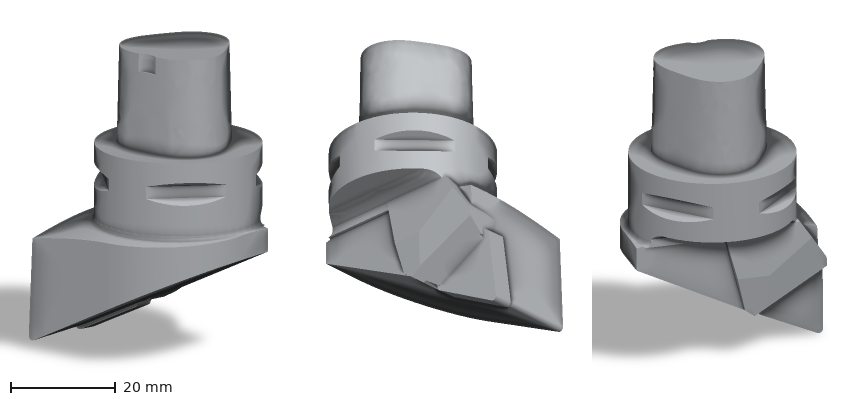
import cadquery as cq
import math


SHANK_HEIGHT = 19.0
SHANK_MEAN_RADIUS = 10.85
SHANK_LOBE_HEIGHT = 0.95
SHANK_TAPER = 1 / 40
LOBES = 3
OUTLINE_POINTS = 36
KEY_NOTCH_RADIUS = 3.4
KEY_NOTCH_DEPTH = 3.5
KEY_NOTCH_INNER_Y = -8.75

COLLAR_RADIUS = 16.05
COLLAR_HEIGHT = 14.3
FLARE = 0.95
GRIP_CENTRE_Z = -6.1
GRIP_FLOOR_WIDTH = 2.35
GRIP_MOUTH_WIDTH = 4.5
GRIP_FLOOR_DISTANCE = 14.1
GRIP_COUNT = 4

HEAD_RIGHT = 17.0
HEAD_FRONT = -19.95
HEAD_BACK = 6.2
HEAD_CORNER_RADIUS = 17.95
HEAD_LEFT_TOP = -19.45
HEAD_LEFT_LEAN = 2.6
HEAD_LEFT_BACK = 4.4
LEFT_CORNER_END = -15.75
HEAD_CONE_ANGLE = 15.0
HEAD_BOTTOM_Z = -38.8
HEAD_BOTTOM_ANGLE = 26.6
HEAD_CORNER_ROUND = 0.75
RELIEF_Z = -12.1
RELIEF_START_Y = 10.3
RELIEF_END_Y = 7.1
RELIEF_END_Z = -13.55
BOTTOM_LIMIT = -47.2
OUTER_LIMIT = 35.4

CLAMP_CORNER_Z = -22.3
CLAMP_OUTLINE = [
    (-15.2, -13.55),
    (-20.65, -21.55),
    (-20.95, CLAMP_CORNER_Z),
    (-20.95, -26.55),
    (-7.65, -33.05),
    (-4.4, -30.7),
    (0.0, -13.55),
]
CLAMP_BACK = 6.25
CLAMP_FRONT = -1.9
CLAMP_TURN = 8.0
CLAMP_TILT = 6.5
BACK_PROFILE = [(7.1, -13.0), (7.8, -23.6), (6.85, -32.45), (2.95, -33.65)]
CHIP_EDGE_POINT = (-20.95, CLAMP_BACK, -23.6)
CHIP_SLOPE_X = -0.6
CHIP_SLOPE_Y = 0.62

INSERT_TIP = (-22.05, 0.0, -40.55)
INSERT_THICKNESS = 4.6
INSERT_SIDE = 15.3
INSERT_ANGLE = 60.5
INSERT_CORNER_RADIUS = 0.8
RAKE_SLOPE_X = 0.1
RAKE_SLOPE_Z = 0.11


def tangent(degrees):
    return math.tan(math.radians(degrees))


def shank_outline(mean_radius, height):
    points = []
    for index in range(OUTLINE_POINTS):
        angle = 2 * math.pi * index / OUTLINE_POINTS
        radius = mean_radius + SHANK_LOBE_HEIGHT * math.cos(LOBES * (angle - math.pi / 2))
        points.append(cq.Vector(radius * math.cos(angle), radius * math.sin(angle), height))
    return cq.Wire.assembleEdges([cq.Edge.makeSpline(points, periodic=True)])


def make_shank():
    top_radius = SHANK_MEAN_RADIUS - SHANK_TAPER * SHANK_HEIGHT
    base = shank_outline(SHANK_MEAN_RADIUS, 0)
    top = shank_outline(top_radius, SHANK_HEIGHT)
    notch = (
        cq.Workplane("XY", origin=(0, KEY_NOTCH_INNER_Y - KEY_NOTCH_RADIUS, SHANK_HEIGHT))
        .circle(KEY_NOTCH_RADIUS)
        .extrude(-KEY_NOTCH_DEPTH)
    )
    return cq.Workplane(cq.Solid.makeLoft([base, top])).cut(notch)


def make_grip_groove(angle):
    """Flat-floored groove with flared sides, cut across the collar at one angle."""
    depth = COLLAR_RADIUS - GRIP_FLOOR_DISTANCE
    half_floor = GRIP_FLOOR_WIDTH / 2
    half_mouth = GRIP_MOUTH_WIDTH / 2
    groove = (
        cq.Workplane("XZ", origin=(GRIP_FLOOR_DISTANCE, 0, GRIP_CENTRE_Z))
        .polyline([(0, -half_floor), (depth, -half_mouth), (depth, half_mouth), (0, half_floor)])
        .close()
        .extrude(COLLAR_RADIUS, both=True)
    )
    return groove.rotate((0, 0, 0), (0, 0, 1), angle)


def make_collar():
    flare_bottom = -COLLAR_HEIGHT - FLARE
    bend = FLARE * (1 - math.sqrt(0.5))
    collar = (
        cq.Workplane("XZ")
        .lineTo(COLLAR_RADIUS, 0)
        .lineTo(COLLAR_RADIUS, -COLLAR_HEIGHT)
        .threePointArc(
            (COLLAR_RADIUS + bend, flare_bottom + bend),
            (COLLAR_RADIUS + FLARE, flare_bottom),
        )
        .lineTo(0, flare_bottom)
        .close()
        .revolve(360, (0, 0, 0), (0, 1, 0))
    )
    for index in range(GRIP_COUNT):
        collar = collar.cut(make_grip_groove((index + 0.5) * 360 / GRIP_COUNT))
    return collar


def make_head():
    corner_x = HEAD_RIGHT - HEAD_CORNER_RADIUS
    corner_y = HEAD_FRONT + HEAD_CORNER_RADIUS
    diagonal = HEAD_CORNER_RADIUS * math.sqrt(0.5)
    plan = (
        cq.Workplane("XY", origin=(0, 0, BOTTOM_LIMIT))
        .moveTo(-OUTER_LIMIT, HEAD_FRONT)
        .lineTo(corner_x, HEAD_FRONT)
        .threePointArc((corner_x + diagonal, corner_y - diagonal), (HEAD_RIGHT, corner_y))
        .lineTo(HEAD_RIGHT, HEAD_BACK)
        .lineTo(LEFT_CORNER_END, HEAD_BACK)
        .lineTo(LEFT_CORNER_END, HEAD_LEFT_BACK)
        .lineTo(-OUTER_LIMIT, HEAD_LEFT_BACK)
        .close()
        .extrude(-BOTTOM_LIMIT)
    )

    top_z = -COLLAR_HEIGHT - FLARE
    bottom_left = HEAD_LEFT_TOP + (HEAD_BOTTOM_Z - top_z) * tangent(HEAD_LEFT_LEAN)
    bottom_right_z = HEAD_BOTTOM_Z + (HEAD_RIGHT - bottom_left) * tangent(HEAD_BOTTOM_ANGLE)
    side = (
        cq.Workplane("XZ")
        .polyline([
            (HEAD_LEFT_TOP, top_z),
            (bottom_left, HEAD_BOTTOM_Z),
            (HEAD_RIGHT, bottom_right_z),
            (HEAD_RIGHT, top_z),
        ])
        .close()
        .extrude(OUTER_LIMIT, both=True)
    )

    side = side.edges("<Z").fillet(HEAD_CORNER_ROUND)

    inner_radius = COLLAR_RADIUS + FLARE
    outer_z = top_z - (OUTER_LIMIT - inner_radius) * tangent(HEAD_CONE_ANGLE)
    cone = (
        cq.Workplane("XZ")
        .polyline([
            (0, top_z),
            (inner_radius, top_z),
            (OUTER_LIMIT, outer_z),
            (OUTER_LIMIT, BOTTOM_LIMIT),
            (0, BOTTOM_LIMIT),
        ])
        .close()
        .revolve(360, (0, 0, 0), (0, 1, 0))
    )
    return plan.intersect(side).intersect(cone)


def make_collar_relief():
    """Space behind the head that undercuts the collar and blends down to the head."""
    return (
        cq.Workplane("YZ")
        .moveTo(OUTER_LIMIT, RELIEF_Z)
        .lineTo(RELIEF_START_Y, RELIEF_Z)
        .spline([(RELIEF_END_Y, RELIEF_END_Z)], tangents=[(-1, 0), (-1, -1)], includeCurrent=True)
        .lineTo(RELIEF_END_Y, BOTTOM_LIMIT)
        .lineTo(OUTER_LIMIT, BOTTOM_LIMIT)
        .close()
        .extrude(OUTER_LIMIT, both=True)
    )


def make_clamp_block():
    """Block with a sloping left shoulder, tilted and turned about its back left corner."""
    pivot_x = min(x for x, z in CLAMP_OUTLINE)
    block = (
        cq.Workplane("XZ", origin=(0, CLAMP_BACK, 0))
        .polyline(CLAMP_OUTLINE)
        .close()
        .extrude(CLAMP_BACK - CLAMP_FRONT)
    )
    corner = cq.Vector(pivot_x, CLAMP_BACK, CLAMP_CORNER_Z)
    block = block.rotate(corner, corner + cq.Vector(0.6, 0, 0), -CLAMP_TILT)
    block = block.rotate(corner, corner + cq.Vector(0, 0, 0.6), CLAMP_TURN)

    top_z = BACK_PROFILE[0][1]
    foot_z = BACK_PROFILE[-1][1]
    rear_limit = (
        cq.Workplane("YZ")
        .polyline([*BACK_PROFILE, (-OUTER_LIMIT, foot_z), (-OUTER_LIMIT, top_z)])
        .close()
        .extrude(OUTER_LIMIT, both=True)
    )
    return block.intersect(rear_limit)


def rake_plane():
    """Plane of the rake face at the tip, with its X direction along the lower cutting edge."""
    run = math.cos(math.radians(HEAD_BOTTOM_ANGLE))
    rise = math.sin(math.radians(HEAD_BOTTOM_ANGLE))
    edge = (run, RAKE_SLOPE_X * run + RAKE_SLOPE_Z * rise, rise)
    return cq.Plane(origin=INSERT_TIP, xDir=edge, normal=(RAKE_SLOPE_X, -1, RAKE_SLOPE_Z))


def make_insert():
    """Rhombic plate with rounded corners, lying behind its seat."""
    along = INSERT_SIDE * math.cos(math.radians(INSERT_ANGLE))
    across = INSERT_SIDE * math.sin(math.radians(INSERT_ANGLE))
    return (
        cq.Workplane(rake_plane())
        .polyline([(0, 0), (INSERT_SIDE, 0), (INSERT_SIDE + along, across), (along, across)])
        .close()
        .extrude(INSERT_THICKNESS)
        .edges(cq.selectors.ParallelDirSelector(rake_plane().zDir))
        .fillet(INSERT_CORNER_RADIUS)
    )


def make_chip_space():
    """Open space above the rake face, below the sloping chip face of the clamp block."""
    above_rake = cq.Workplane(rake_plane()).rect(2 * OUTER_LIMIT, 2 * OUTER_LIMIT).extrude(-OUTER_LIMIT)
    chip_plane = cq.Plane(
        origin=CHIP_EDGE_POINT,
        xDir=(1, 0, CHIP_SLOPE_X),
        normal=(CHIP_SLOPE_X, CHIP_SLOPE_Y, -1),
    )
    below_chip_face = cq.Workplane(chip_plane).rect(2 * OUTER_LIMIT, 2 * OUTER_LIMIT).extrude(OUTER_LIMIT)
    return above_rake.intersect(below_chip_face)


insert = make_insert()

holder = (
    make_collar()
    .union(make_head())
    .cut(make_collar_relief())
    .union(make_clamp_block())
    .union(make_shank())
    .cut(make_chip_space())
    .cut(insert)
)

result = cq.Compound.makeCompound([holder.val(), insert.val()])